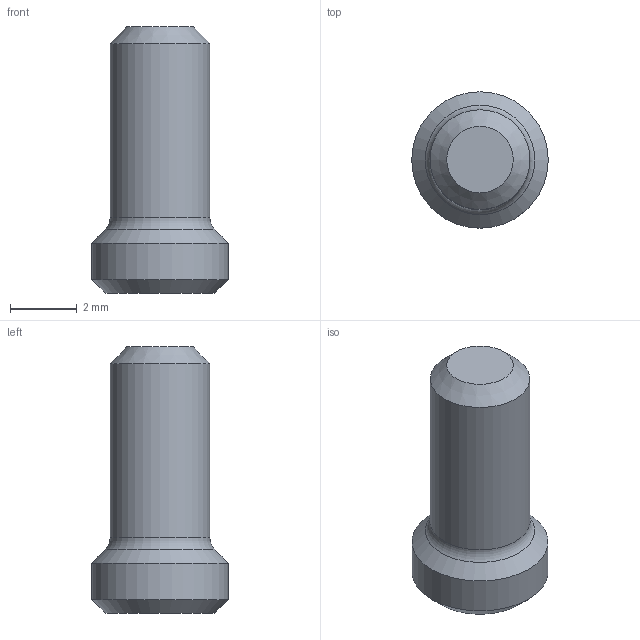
import cadquery as cq
import math

total_length = 8.0
shank_radius = 1.5
head_radius = 2.05

base_chamfer = 0.4
head_rim_height = 1.5

tip_chamfer = 0.5
neck_fillet_radius = 0.5

shoulder_angle = math.radians(45)
neck_center_radius = shank_radius + neck_fillet_radius


def neck_radius_at(angle):
    """Radius of the neck surface at an arc angle measured from the shank tangent point."""
    return neck_center_radius - neck_fillet_radius * math.cos(angle)


def neck_drop_at(angle):
    """Depth of the neck surface below the shank tangent point."""
    return neck_fillet_radius * math.sin(angle)


shoulder_top_radius = neck_radius_at(shoulder_angle)
shoulder_height = (head_radius - shoulder_top_radius) * math.tan(shoulder_angle)
shoulder_top_z = head_rim_height + shoulder_height
shank_start_z = shoulder_top_z + neck_drop_at(shoulder_angle)

neck_mid_angle = shoulder_angle / 2
neck_mid_radius = neck_radius_at(neck_mid_angle)
neck_mid_z = shank_start_z - neck_drop_at(neck_mid_angle)


def make_pin():
    """Revolve the half profile, drawn on the -X side, about the Z axis."""
    profile = (
        cq.Workplane("XZ")
        .moveTo(0, 0)
        .lineTo(-(head_radius - base_chamfer), 0)
        .lineTo(-head_radius, base_chamfer)
        .lineTo(-head_radius, head_rim_height)
        .lineTo(-shoulder_top_radius, shoulder_top_z)
        .threePointArc((-neck_mid_radius, neck_mid_z), (-shank_radius, shank_start_z))
        .lineTo(-shank_radius, total_length - tip_chamfer)
        .lineTo(-(shank_radius - tip_chamfer), total_length)
        .lineTo(0, total_length)
        .close()
    )
    return profile.revolve(360, (0, 0, 0), (0, 1, 0))


result = make_pin()